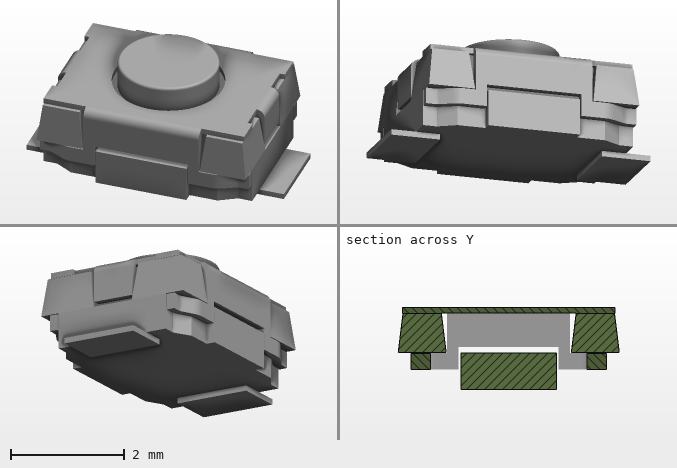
import cadquery as cq
import math


sheet = 0.1
base_bottom = sheet
skirt_bottom = 0.45
shoulder = 0.755
wing_top = 0.74
window_top = 0.85
block_top = 1.45
cover_top = block_top + sheet
button_top = 1.95

length = 3.9
width = 2.9
draft = 7
waist_width = 2.565
base_end_width = 2.19
waist_half_length = 1.37
bevel_end_x = 1.69
foot_length = 1.695
pocket_gap = 0.02

terminal_tip_x = 2.4
terminal_root_x = 1.5
terminal_width = 1.4

bend = 0.155
plate_length = 3.745
flange_length = 2.155
window_length = 1.75
tab_tip_x = 1.93
tab_width = 0.765
notch_width = 1.695
hole_diameter = 2.0

wing_jog = 0.18
jog_start_x = 1.4
jog_end_x = 1.745
jog_start_radius = 0.385
jog_end_radius = 0.16

button_diameter = 1.8
button_fillet = 0.05


def block(size_x, size_y, bottom, top, x=0, y=0):
    """Box centred on (x, y) in plan and reaching from bottom to top."""
    return cq.Workplane(origin=(x, y, bottom)).box(size_x, size_y, top - bottom, centered=(True, True, False))


def make_base():
    """Straight lower part of the housing, with bevelled corners."""
    half_end = base_end_width / 2
    half_waist = waist_width / 2
    quarter = [
        (length / 2, half_end),
        (bevel_end_x, half_end),
        (waist_half_length, half_waist),
    ]
    far_side = quarter + [(-x, y) for x, y in reversed(quarter)]
    near_side = [(-x, -y) for x, y in far_side]
    base = cq.Workplane(origin=(0, 0, base_bottom)).polyline(far_side + near_side).close()
    base = base.extrude(shoulder - base_bottom)
    return base.union(block(foot_length, width, base_bottom, shoulder))


def make_pocket(floor_x, floor_y, x, y):
    """Drafted pocket that widens upward, as a tool to cut from the upper block."""
    height = block_top - shoulder
    widening = 2 * height * math.tan(math.radians(draft))
    return (
        cq.Workplane(origin=(x, y, shoulder))
        .rect(floor_x, floor_y)
        .workplane(offset=height)
        .rect(floor_x + widening, floor_y + widening)
        .loft(ruled=True)
    )


def make_upper_block():
    """Drafted upper part of the housing, with a pocket for each flange and tab."""
    upper = cq.Workplane(origin=(0, 0, shoulder)).rect(length, width)
    upper = upper.extrude(block_top - shoulder, taper=draft)
    flange_pocket = flange_length + 2 * pocket_gap
    tab_pocket = tab_width + 2 * pocket_gap
    tab_wall_x = tab_tip_x - bend - pocket_gap
    reach = width / 2
    flange_pocket_y = (waist_width + reach) / 2
    tab_pocket_x = tab_wall_x + reach / 2
    for side in (1, -1):
        upper = upper.cut(make_pocket(flange_pocket, reach, 0, side * flange_pocket_y))
        upper = upper.cut(make_pocket(reach, tab_pocket, side * tab_pocket_x, 0))
    return upper


def make_housing():
    housing = make_base().union(make_upper_block())
    terminal_x = (terminal_tip_x + terminal_root_x) / 2
    for side in (1, -1):
        housing = housing.union(
            block(terminal_tip_x - terminal_root_x, terminal_width, 0, sheet, x=side * terminal_x)
        )
    return housing


def make_wings():
    """Low part of a flange on the +Y side, jogged inward toward both ends."""
    outer_y = width / 2
    jog_angle = math.atan2(wing_jog, jog_end_x - jog_start_x)
    inner_shift = bend * math.tan(jog_angle / 2)
    outer = [(jog_start_x, outer_y), (jog_end_x, outer_y - wing_jog), (length / 2, outer_y - wing_jog)]
    inner = [
        (length / 2, outer_y - wing_jog - bend),
        (jog_end_x - inner_shift, outer_y - wing_jog - bend),
        (jog_start_x - inner_shift, outer_y - bend),
    ]
    right_half = outer + inner
    left_half = [(-x, y) for x, y in reversed(right_half)]
    wings = cq.Workplane(origin=(0, 0, skirt_bottom)).polyline(right_half + left_half).close()
    wings = wings.extrude(wing_top - skirt_bottom)

    mid_z = (skirt_bottom + wing_top) / 2
    bends = [
        (outer[0], jog_start_radius),
        (inner[2], jog_start_radius - bend),
        (outer[1], jog_end_radius),
        (inner[1], jog_end_radius + bend),
    ]
    for (x, y), radius in bends:
        for side in (1, -1):
            corner = cq.NearestToPointSelector((side * x, y, mid_z))
            wings = wings.edges("|Z").edges(corner).fillet(radius)
    return wings


def bent_strip(strip_width, tip, bottom):
    """Strip at the +X end, bent down from the cover plate and ending at the tip."""
    return (
        cq.Workplane("XZ", origin=(0, strip_width / 2, 0))
        .moveTo(tip - bend, bottom)
        .lineTo(tip, bottom)
        .lineTo(tip, cover_top - bend)
        .radiusArc((tip - bend, cover_top), -bend)
        .close()
        .extrude(strip_width)
    )


def make_flange():
    """Long flange on the +Y side, with its wings and the window over the housing foot."""
    upright = bent_strip(flange_length, width / 2, skirt_bottom).rotate((0, 0, 0), (0, 0, 1), 90)
    window = block(window_length, width, skirt_bottom, window_top, y=width / 2)
    return upright.union(make_wings()).cut(window)


def make_cover():
    notch_x = tab_tip_x - bend
    cover = block(plate_length, width - 2 * bend, block_top, cover_top)
    for side in (1, -1):
        notch = block(2 * bend, notch_width, block_top, cover_top, x=side * (notch_x + bend))
        cover = cover.cut(notch)
    flange = make_flange()
    tab = bent_strip(tab_width, tab_tip_x, window_top)
    for turn in (0, 180):
        cover = cover.union(flange.rotate((0, 0, 0), (0, 0, 1), turn))
        cover = cover.union(tab.rotate((0, 0, 0), (0, 0, 1), turn))
    hole = cq.Workplane(origin=(0, 0, block_top)).circle(hole_diameter / 2).extrude(sheet)
    return cover.cut(hole)


def make_button():
    button = cq.Workplane(origin=(0, 0, block_top)).circle(button_diameter / 2)
    return button.extrude(button_top - block_top).faces(">Z").edges().fillet(button_fillet)


housing = make_housing().solids()
cover = make_cover().solids()
button = make_button().solids()

result = cq.Compound.makeCompound([housing.val(), cover.val(), button.val()])